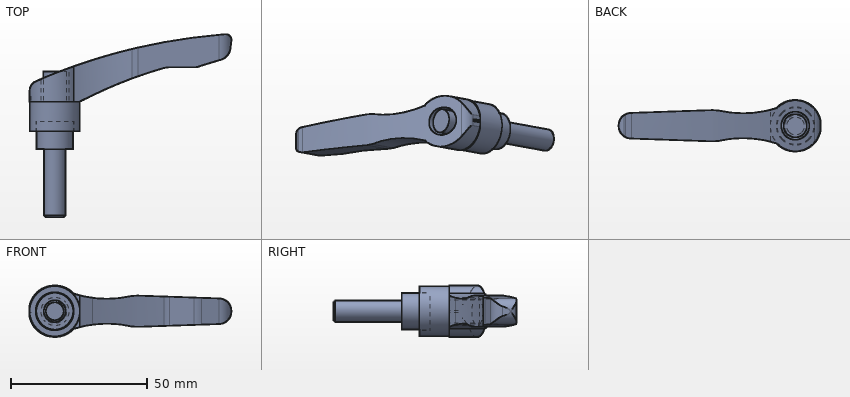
import cadquery as cq
import math

collar_bottom = 25.05
hub_bottom = 31.6
hub_split = 42.5
screw_head_top = 53.5

stud_diameter = 8.0
stud_chamfer = 0.75
collar_diameter = 13.5
collar_recess_diameter = 14.0
collar_recess_depth = 3.7
lower_hub_diameter = 18.5
upper_hub_diameter = 19.0
screw_head_diameter = 8.6
screw_well_diameter = 10.3

hub_flat_x = -9.3
index_slot_width = 0.75
index_slot_length = 3.2
index_slot_depth = 0.4

lever_length = 74.15
arm_tip_x = hub_flat_x + lever_length
arm_top = 67.25
arm_root_x = 6.9
waist_x = 18.55
waist_half_width = 4.6
swell_start_x = 28.2
swell_start_half_width = 5.6
swell_end_x = 30.4
swell_half_width = 5.8
tip_start_x = 60.3
tip_half_width = 4.75

hub_flat_top = 46.3
heel_middle = (-8.6, 48.6)
heel_end = (-7.05, 49.9)
back_middle = (29.3, 62.1)
back_end = (tip_start_x, 67.0)

nose_start_x = 62.4
nose_middle = (64.3, 66.6)
nose_end_y = 64.9
tip_front_start = (64.5, 61.9)
tip_front_middle = (63.2, 59.2)
tip_underside_y = 57.6

rest_y = 55.0
rest_outer_start = (53.75, 55.6)
rest_outer_middle = (52.4, 55.2)
rest_outer_end_x = 51.1
rest_inner_start_x = 42.0
rest_inner_middle = (41.0, 54.95)
underside_start = (40.0, 54.7)
underside_middle = (28.2, 50.9)
underside_end = (13.8, 44.7)
underside_root_x = 9.3


def cylinder(diameter, start, end):
    """Solid cylinder about the screw axis between two heights."""
    profile = cq.Workplane("XZ", origin=(0, start, 0)).circle(diameter / 2)
    return profile.extrude(start - end)


def lever_side():
    """Thick slab with the lever's curved outline in the XY plane."""
    return (
        cq.Workplane("XY")
        .moveTo(hub_flat_x, hub_split)
        .lineTo(hub_flat_x, hub_flat_top)
        .threePointArc(heel_middle, heel_end)
        .threePointArc(back_middle, back_end)
        .lineTo(nose_start_x, arm_top)
        .threePointArc(nose_middle, (arm_tip_x, nose_end_y))
        .lineTo(*tip_front_start)
        .threePointArc(tip_front_middle, (tip_start_x, tip_underside_y))
        .lineTo(*rest_outer_start)
        .threePointArc(rest_outer_middle, (rest_outer_end_x, rest_y))
        .lineTo(rest_inner_start_x, rest_y)
        .threePointArc(rest_inner_middle, underside_start)
        .threePointArc(underside_middle, underside_end)
        .lineTo(underside_root_x, hub_split)
        .close()
        .extrude(upper_hub_diameter / 2, both=True)
    )


def lever_plan():
    """Column with the lever's outline across the arm: hub disc and waisted arm."""
    hub_radius = upper_hub_diameter / 2
    root_half_width = math.sqrt(hub_radius**2 - arm_root_x**2)
    arm = (
        cq.Workplane("XZ", origin=(0, hub_split, 0))
        .moveTo(0, -root_half_width)
        .lineTo(arm_root_x, -root_half_width)
        .threePointArc((waist_x, -waist_half_width), (swell_start_x, -swell_start_half_width))
        .lineTo(swell_end_x, -swell_half_width)
        .lineTo(tip_start_x, -tip_half_width)
        .threePointArc((arm_tip_x, 0), (tip_start_x, tip_half_width))
        .lineTo(swell_end_x, swell_half_width)
        .lineTo(swell_start_x, swell_start_half_width)
        .threePointArc((waist_x, waist_half_width), (arm_root_x, root_half_width))
        .lineTo(0, root_half_width)
        .close()
        .extrude(hub_split - arm_top)
    )
    return cylinder(upper_hub_diameter, hub_split, arm_top).union(arm)


def index_slot():
    """Shallow slot in the hub flat, open at the hub split."""
    return (
        cq.Workplane("XY")
        .box(index_slot_depth, index_slot_length, index_slot_width, centered=(False, False, True))
        .translate((hub_flat_x, hub_split, 0))
    )


def lower_hub():
    """Hub sleeve with an annular recess around the collar."""
    sleeve = cylinder(lower_hub_diameter, hub_bottom, hub_split)
    recess = cylinder(collar_recess_diameter, hub_bottom, hub_bottom + collar_recess_depth)
    return sleeve.cut(recess)


def threaded_insert():
    """Chamfered stud with its collar, seated against the recess floor."""
    stud = cylinder(stud_diameter, 0, collar_bottom).faces("<Y").chamfer(stud_chamfer)
    return stud.union(cylinder(collar_diameter, collar_bottom, hub_bottom + collar_recess_depth))


lever = lever_side().intersect(lever_plan())
lever = lever.cut(cylinder(screw_well_diameter, hub_split, arm_top)).cut(index_slot())
screw_head = cylinder(screw_head_diameter, hub_split, screw_head_top)

result = lever.union(lower_hub()).union(threaded_insert()).union(screw_head)